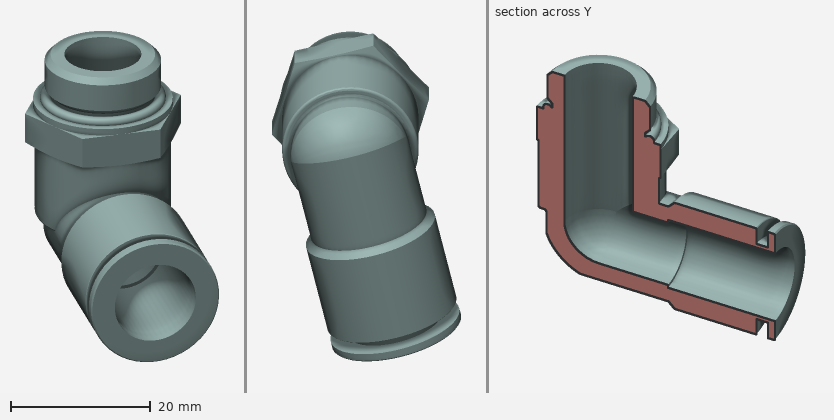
import cadquery as cq
import math


elbow_radius = 17.0 / 2
bore_radius = 11.0 / 2
corner_arc_offset = 0.5
trim_margin = 1.0

body_radius = 19.5 / 2
body_bottom = 1.05
body_edge_fillet = 0.4
body_root_fillet = 0.35

hex_flats = 20.0
hex_bottom = 13.0
hex_top = 18.0
hex_chamfer_angle = math.radians(15)
washer_radius = hex_flats / 2
washer_top = 19.0

ring_outer_radius = 9.0
ring_section_radius = 0.8
ring_center_z = 19.2
neck_radius = 14.95 / 2
thread_radius = 16.66 / 2
thread_chamfer = thread_radius - neck_radius
thread_bottom = 21.05
stem_top = 26.0

collar_radius = 19.0 / 2
collar_start = 11.25
collar_end = 25.5
collar_edge_chamfer = 0.1
sleeve_radius = 13.5 / 2
flange_start = 27.25
flange_edge_chamfer = 0.2
port_end = 28.5
tube_radius = 12.0 / 2


def make_corner_trim():
    """Corner stock behind and below the origin that lies outside an arc turned about Y."""
    r = elbow_radius
    post_end = r + trim_margin
    reach = 2 * r
    arc_body = (
        cq.Workplane("XY")
        .moveTo(0, -post_end)
        .lineTo(corner_arc_offset, -post_end)
        .lineTo(corner_arc_offset, -r)
        .threePointArc((corner_arc_offset + r, 0), (corner_arc_offset, r))
        .lineTo(corner_arc_offset, post_end)
        .lineTo(0, post_end)
        .close()
        .revolve(360, (0, 0, 0), (0, 1, 0))
    )
    corner_block = cq.Workplane("XY").box(reach, 2 * post_end, reach)
    corner_block = corner_block.translate((-r, 0, -r))
    return corner_block.cut(arc_body)


def make_miter_wedge(points):
    """Prism across the part, drawn in the XZ plane, that trims one leg at the miter."""
    return cq.Workplane("XZ").polyline(points).close().extrude(2 * elbow_radius, both=True)


def make_elbow():
    """Stem and port trimmed to meet on the 45 degree miter, with the outer corner rounded off."""
    reach = 2 * elbow_radius
    stem_wedge = make_miter_wedge([(0, 0), (-reach, -reach), (reach, -reach), (reach, 0)])
    port_wedge = make_miter_wedge([(0, 0), (-reach, -reach), (-reach, reach), (0, reach)])
    stem = make_stem().cut(stem_wedge)
    port = make_port().cut(port_wedge)
    return stem.union(port).cut(make_corner_trim())


def make_stem():
    """Turned stem: lower elbow leg, body, washer face, O-ring, neck and thread."""
    arc_side = math.sqrt(0.5)
    edge_center = (body_radius - body_edge_fillet, body_bottom + body_edge_fillet)
    root_center = (elbow_radius + body_root_fillet, body_bottom - body_root_fillet)
    ring_center_radius = ring_outer_radius - ring_section_radius
    ring_base_drop = ring_center_z - washer_top
    ring_base_radius = ring_center_radius + math.sqrt(ring_section_radius**2 - ring_base_drop**2)
    ring_neck_rise = math.sqrt(ring_section_radius**2 - (ring_center_radius - neck_radius) ** 2)
    return (
        cq.Workplane("XZ")
        .moveTo(0, -elbow_radius)
        .lineTo(elbow_radius, -elbow_radius)
        .lineTo(elbow_radius, root_center[1])
        .threePointArc(
            (root_center[0] - body_root_fillet * arc_side, root_center[1] + body_root_fillet * arc_side),
            (root_center[0], body_bottom),
        )
        .lineTo(edge_center[0], body_bottom)
        .threePointArc(
            (edge_center[0] + body_edge_fillet * arc_side, edge_center[1] - body_edge_fillet * arc_side),
            (body_radius, edge_center[1]),
        )
        .lineTo(body_radius, hex_top)
        .lineTo(washer_radius, hex_top)
        .lineTo(washer_radius, washer_top)
        .lineTo(ring_base_radius, washer_top)
        .threePointArc(
            (ring_center_radius, ring_center_z + ring_section_radius),
            (neck_radius, ring_center_z + ring_neck_rise),
        )
        .lineTo(neck_radius, thread_bottom - thread_chamfer)
        .lineTo(thread_radius, thread_bottom)
        .lineTo(thread_radius, stem_top - thread_chamfer)
        .lineTo(neck_radius, stem_top)
        .lineTo(0, stem_top)
        .close()
        .revolve(360, (0, 0, 0), (0, 1, 0))
    )


def make_hexagon():
    """Hexagon with flats facing X and corners cut by a shallow cone underneath."""
    corner_radius = hex_flats / 2 / math.cos(math.pi / 6)
    cone_rise = (corner_radius - body_radius) * math.tan(hex_chamfer_angle)
    prism = (
        cq.Workplane("XY")
        .workplane(offset=hex_bottom)
        .transformed(rotate=(0, 0, 30))
        .polygon(6, 2 * corner_radius)
        .extrude(hex_top - hex_bottom)
    )
    chamfer_envelope = (
        cq.Workplane("XZ")
        .moveTo(0, hex_bottom)
        .lineTo(body_radius, hex_bottom)
        .lineTo(corner_radius, hex_bottom + cone_rise)
        .lineTo(corner_radius, hex_top)
        .lineTo(0, hex_top)
        .close()
        .revolve(360, (0, 0, 0), (0, 1, 0))
    )
    return prism.intersect(chamfer_envelope)


def make_port():
    """Turned tube port: elbow leg, collar, release sleeve and its flange."""
    collar_step = collar_radius - elbow_radius
    return (
        cq.Workplane("XZ")
        .moveTo(-elbow_radius, 0)
        .lineTo(-elbow_radius, elbow_radius)
        .lineTo(collar_start, elbow_radius)
        .lineTo(collar_start + collar_step, collar_radius)
        .lineTo(collar_end - collar_edge_chamfer, collar_radius)
        .lineTo(collar_end, collar_radius - collar_edge_chamfer)
        .lineTo(collar_end, sleeve_radius)
        .lineTo(flange_start, sleeve_radius)
        .lineTo(flange_start, collar_radius)
        .lineTo(port_end - flange_edge_chamfer, collar_radius)
        .lineTo(port_end, collar_radius - flange_edge_chamfer)
        .lineTo(port_end, 0)
        .close()
        .revolve(360, (0, 0, 0), (1, 0, 0))
    )


def make_passage():
    """Bores along Z and X joined by a ball, with a wider tube socket inside the collar."""
    ball = cq.Workplane("XY").sphere(bore_radius)
    stem_bore = cq.Workplane("XY").circle(bore_radius).extrude(stem_top)
    port_bore = cq.Workplane("YZ").circle(bore_radius).extrude(port_end)
    tube_socket = (
        cq.Workplane("YZ")
        .workplane(offset=collar_start)
        .circle(tube_radius)
        .extrude(port_end - collar_start)
    )
    return ball.union(stem_bore).union(port_bore).union(tube_socket)


outside = make_elbow().union(make_hexagon())
result = outside.cut(make_passage())